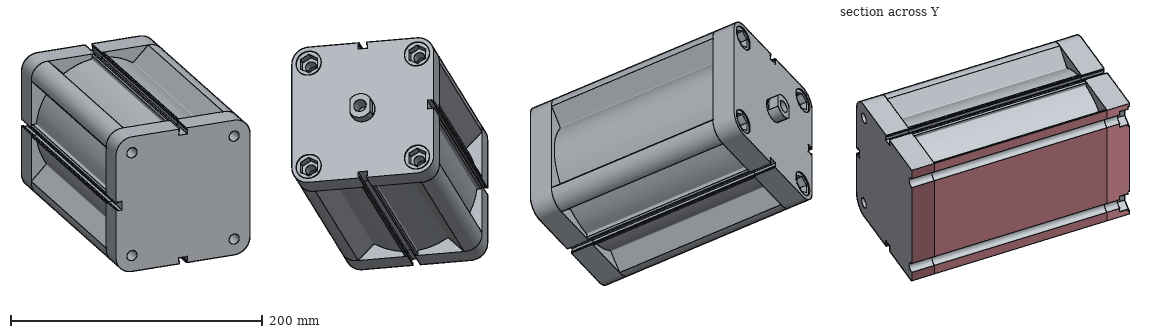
import cadquery as cq
import math

overall_length = 202.0
side = 116.0
half_side = side / 2
corner_radius = 13.7
corner_centre = half_side - corner_radius
cap_thickness = 20.0

rod_diameter = 20.2
rod_reach = 9.9
rod_across_flats = 16.5
rod_flat_length = 8.7
rod_hole_diameter = 10.0
rod_hole_depth = 16.2
drill_point_angle = 118.0

bolt_hole_diameter = 8.7
hex_across_flats = 13.7
hex_depth = 8.7
seat_diameter = 20.5
seat_depth = 1.0

slot_mouth = 5.9
slot_width = 7.5
slot_depth = 5.3
slot_lip = 1.6

barrel_radius = 54.0
rib_edge = 43.2
rib_fillet = 1.0
rail_width = 11.1
rail_bevel = 1.2
rail_fillet = 0.8
rail_height = 8.0

rib_edge_height = corner_centre + math.sqrt(corner_radius**2 - (rib_edge - corner_centre) ** 2)
flank_offset = rib_edge_height - rib_edge
rib_foot = (math.sqrt(2 * barrel_radius**2 - flank_offset**2) - flank_offset) / 2
rib_foot_height = rib_foot + flank_offset
rail_foot_height = math.sqrt(barrel_radius**2 - (rail_width / 2) ** 2)

front_cap_start = 0.0
tube_start = cap_thickness
tube_length = overall_length - rod_reach - 2 * cap_thickness
tube_middle = tube_start + tube_length / 2
rear_cap_start = tube_start + tube_length

slotted_turns = (0, 90, 180)
all_turns = (0, 90, 180, 270)


def section(x):
    """Workplane across the cylinder at x, with local axes along Y and Z."""
    return cq.Workplane("YZ", origin=(x, 0, 0))


def turned(shape, angle):
    """Shape turned about the cylinder axis."""
    return shape.rotate((0, 0, 0), (1, 0, 0), angle)


def corner_points():
    """Centres of the four rounded corners."""
    return [(y, z) for y in (-corner_centre, corner_centre) for z in (-corner_centre, corner_centre)]


def bolt_holes(x, length):
    """Cutter for the four bolt holes."""
    return section(x).pushPoints(corner_points()).circle(bolt_hole_diameter / 2).extrude(length)


def sensor_slot(x, length):
    """T-shaped slot cutter in the top side."""
    mouth = section(x).center(0, half_side - slot_depth / 2).rect(slot_mouth, slot_depth).extrude(length)
    pocket_height = slot_depth - slot_lip
    pocket_centre = half_side - slot_depth + pocket_height / 2
    pocket = section(x).center(0, pocket_centre).rect(slot_width, pocket_height).extrude(length)
    return mouth.union(pocket)


def cut_sensor_slots(body, x, length):
    """Cut the sensor slot in every slotted side."""
    slot = sensor_slot(x, length)
    for angle in slotted_turns:
        body = body.cut(turned(slot, angle))
    return body


def make_cap(x):
    """End cap with bolt holes and sensor slots."""
    block = section(x).rect(side, side).extrude(cap_thickness).edges("|X").fillet(corner_radius)
    return cut_sensor_slots(block.cut(bolt_holes(x, cap_thickness)), x, cap_thickness)


def make_front_cap():
    """End cap with the rod bore and a shallow seat and hexagon socket at each bolt hole."""
    cap = make_cap(front_cap_start)
    bore = section(front_cap_start).circle(rod_diameter / 2).extrude(cap_thickness)
    seats = (
        section(front_cap_start).pushPoints(corner_points())
        .circle(seat_diameter / 2).extrude(seat_depth)
    )
    hex_across_corners = hex_across_flats / math.cos(math.radians(30))
    hexagon = section(front_cap_start).polygon(6, hex_across_corners).extrude(hex_depth)
    upright_hexagon = turned(hexagon, 90)
    cap = cap.cut(bore).cut(seats)
    for y, z in corner_points():
        cap = cap.cut(upright_hexagon.translate((0, y, z)))
    return cap


def tube_outline():
    """Cross-section of the tube without rails: four barrel arcs joined by round corner ribs."""
    rib_middle = corner_centre + corner_radius * math.sqrt(0.5)
    outline = section(tube_start).moveTo(-rib_foot, rib_foot_height)
    for cosine, sine in ((1, 0), (0, 1), (-1, 0), (0, -1)):
        def place(y, z):
            return (cosine * y + sine * z, cosine * z - sine * y)
        outline = (
            outline
            .threePointArc(place(0, barrel_radius), place(rib_foot, rib_foot_height))
            .lineTo(*place(rib_edge, rib_edge_height))
            .threePointArc(place(rib_middle, rib_middle), place(rib_edge_height, rib_edge))
            .lineTo(*place(rib_foot_height, rib_foot))
        )
    return outline.close()


def slot_rail():
    """Rail with bevelled top edges that carries the sensor slot on the top side."""
    rail = (
        section(tube_start)
        .center(0, half_side - rail_height / 2)
        .rect(rail_width, rail_height)
        .extrude(tube_length)
    )
    return rail.faces(">Z").edges("|X").chamfer(rail_bevel)


def round_feet(tube, angle, foot_y, foot_z, radius):
    """Fillet the two inner edges at (-foot_y, foot_z) and (foot_y, foot_z) of the side turned by angle."""
    upright = turned(tube, -angle)
    for y in (-foot_y, foot_y):
        foot = cq.selectors.NearestToPointSelector((tube_middle, y, foot_z))
        upright = upright.edges("|X").edges(foot).fillet(radius)
    return turned(upright, angle)


def make_tube():
    """Profile tube with four hollow sides, three of them with a slotted rail."""
    tube = tube_outline().extrude(tube_length)
    for angle in all_turns:
        tube = round_feet(tube, angle, rib_foot, rib_foot_height, rib_fillet)
    for angle in slotted_turns:
        tube = tube.union(turned(slot_rail(), angle))
        tube = round_feet(tube, angle, rail_width / 2, rail_foot_height, rail_fillet)
    tube = tube.cut(bolt_holes(tube_start, tube_length))
    return cut_sensor_slots(tube, tube_start, tube_length)


def make_rod():
    """Rod that fills the bore of the front cap, with two wrench flats and a drilled hole in its end."""
    tip = -rod_reach
    flat_end = tip + rod_flat_length
    flat_part = (
        section(tip).circle(rod_diameter / 2).extrude(rod_flat_length)
        .intersect(section(tip).rect(rod_across_flats, rod_diameter).extrude(rod_flat_length))
    )
    round_part = section(flat_end).circle(rod_diameter / 2).extrude(cap_thickness - flat_end)
    hole_radius = rod_hole_diameter / 2
    point_length = hole_radius / math.tan(math.radians(drill_point_angle / 2))
    drill = (
        cq.Workplane("XY")
        .moveTo(tip, 0)
        .lineTo(tip, hole_radius)
        .lineTo(tip + rod_hole_depth, hole_radius)
        .lineTo(tip + rod_hole_depth + point_length, 0)
        .close()
        .revolve(360, (0, 0, 0), (1, 0, 0))
    )
    return flat_part.union(round_part).cut(drill)


front_cap = make_front_cap()
tube = make_tube()
rear_cap = make_cap(rear_cap_start)
rod = make_rod()

result = cq.Compound.makeCompound([front_cap.val(), tube.val(), rear_cap.val(), rod.val()])